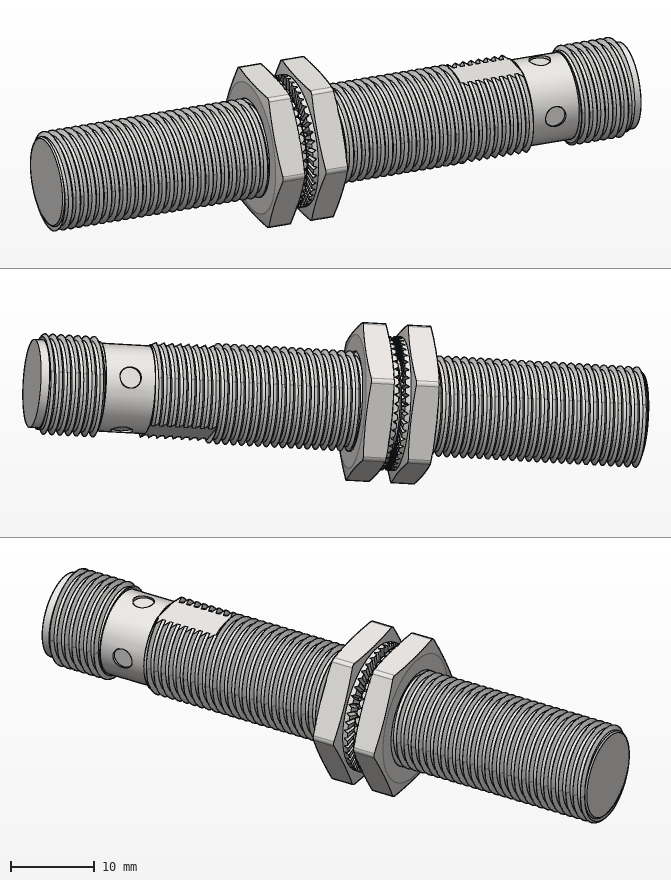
import cadquery as cq
import math


length = 74.0
core_diameter = 10.9
collar_diameter = 10.5
end_bevel = (core_diameter - collar_diameter) / 2
collar_start = 60.1
collar_end = 66.1
connector_core_end = 73.0

thread_diameter = 12.0
thread_pitch = thread_diameter / 12
ridge_root_width = 0.83 * thread_pitch
ridge_overlap = 0.2
thread_margin = 0.48
barrel_turns = 59
connector_turns = 6

flat_count = 2
flat_distance = 10.0
flat_start = 52.1

window_count = 4
window_diameter = 2.6
window_depth = 0.4

nut_width = 17.0
nut_hex_height = 3.3
nut_boss_height = 0.7
nut_boss_diameter = 16.0
nut_corner_radius = 0.63
nut_chamfer_drop = 0.3
front_nut_start = 26.2
nut_gap = 0.8
groove_count = 46
groove_width = 0.5
groove_depth = 0.45


def cylinder_along_y(diameter, start, end):
    """Cylinder on the Y axis between two Y positions."""
    return cq.Workplane("XZ", origin=(0, start, 0)).circle(diameter / 2).extrude(start - end)


def copies_around_y(body, count):
    """Solids of a body repeated evenly around the Y axis."""
    return [body.rotate((0, 0, 0), (0, 1, 0), index * 360 / count).val() for index in range(count)]


def sensor_core():
    """Stepped round body without threads: barrel, collar, connector core and plain end."""
    core_radius = core_diameter / 2
    collar_radius = collar_diameter / 2
    return (
        cq.Workplane("XY")
        .moveTo(0, 0)
        .lineTo(core_radius - end_bevel, 0)
        .lineTo(core_radius, end_bevel)
        .lineTo(core_radius, collar_start)
        .lineTo(collar_radius, collar_start)
        .lineTo(collar_radius, collar_end)
        .lineTo(core_radius, collar_end)
        .lineTo(core_radius, connector_core_end)
        .lineTo(collar_radius, connector_core_end)
        .lineTo(collar_radius, length)
        .lineTo(0, length)
        .close()
        .revolve(360, (0, 0, 0), (0, 1, 0))
    )


def thread_turn():
    """One turn of the right-hand V ridge around Y, starting on the -X side at Y = 0."""
    root_radius = core_diameter / 2 - ridge_overlap
    helix = cq.Wire.makeHelix(thread_pitch, thread_pitch, root_radius)
    profile = (
        cq.Workplane("XZ")
        .moveTo(root_radius, -ridge_root_width / 2)
        .lineTo(thread_diameter / 2, 0)
        .lineTo(root_radius, ridge_root_width / 2)
        .close()
    )
    turn = profile.sweep(cq.Workplane(obj=helix), isFrenet=True)
    turn = turn.rotate((0, 0, 0), (0, 0, 1), 180).rotate((0, 0, 0), (1, 0, 0), -90)
    return turn.cut(cylinder_along_y(core_diameter, -thread_pitch, 2 * thread_pitch))


def thread_turns(first_turn, turn_count, clip_start, clip_end):
    """Full thread turns from a given Y, with a clipped turn before and after them."""
    turn = thread_turn().val()
    clip = cylinder_along_y(2 * thread_diameter, clip_start, clip_end).val()
    turns = [turn.translate((0, first_turn + index * thread_pitch, 0)) for index in range(turn_count)]
    for index in (-1, turn_count):
        runout = turn.translate((0, first_turn + index * thread_pitch, 0))
        turns.append(runout.intersect(clip))
    return turns


def wrench_flat_cutter():
    """Block above the upper wrench flat."""
    flat_length = collar_start - flat_start
    return (
        cq.Workplane("XY", origin=(0, (flat_start + collar_start) / 2, flat_distance / 2))
        .rect(2 * thread_diameter, flat_length)
        .extrude(thread_diameter)
    )


def window_cutter():
    """Flat-bottomed round recess in the top of the collar."""
    window_y = (collar_start + collar_end) / 2
    return (
        cq.Workplane("XY", origin=(0, window_y, collar_diameter / 2 - window_depth))
        .circle(window_diameter / 2)
        .extrude(2 * window_depth)
    )


def make_sensor():
    barrel_thread = thread_turns(thread_margin, barrel_turns, end_bevel, collar_start)
    connector_thread = thread_turns(
        collar_end + thread_margin, connector_turns, collar_end, connector_core_end
    )
    sensor = sensor_core().val().fuse(*barrel_thread, *connector_thread, glue=True)
    flats = copies_around_y(wrench_flat_cutter(), flat_count)
    windows = copies_around_y(window_cutter(), window_count)
    return cq.Workplane(obj=sensor.cut(*flats, *windows).Solids()[0])


def serration_groove():
    """Radial V groove cutter from inside the bore past the rim, open at the boss face."""
    boss_face = nut_hex_height + nut_boss_height
    inner_radius = core_diameter / 2
    return (
        cq.Workplane("YZ", origin=(inner_radius, 0, 0))
        .moveTo(boss_face, -groove_width / 2)
        .lineTo(boss_face, groove_width / 2)
        .lineTo(boss_face - groove_depth, 0)
        .close()
        .extrude(nut_boss_diameter / 2)
    )


def make_nut():
    """Lock nut on the Y axis, plain face at Y = 0 and serrated boss toward +Y."""
    corner_distance = nut_width / math.cos(math.pi / 6)
    hexagon = (
        cq.Workplane("XZ")
        .polygon(6, corner_distance)
        .extrude(-nut_hex_height)
        .edges("|Y")
        .fillet(nut_corner_radius)
    )
    corner_radius = corner_distance / 2
    chamfered_blank = (
        cq.Workplane("XY")
        .moveTo(0, 0)
        .lineTo(nut_boss_diameter / 2, 0)
        .lineTo(corner_radius, nut_chamfer_drop)
        .lineTo(corner_radius, nut_hex_height - nut_chamfer_drop)
        .lineTo(nut_boss_diameter / 2, nut_hex_height)
        .lineTo(0, nut_hex_height)
        .close()
        .revolve(360, (0, 0, 0), (0, 1, 0))
    )
    boss_face = nut_hex_height + nut_boss_height
    boss = cylinder_along_y(nut_boss_diameter, nut_hex_height, boss_face)
    bore = cylinder_along_y(thread_diameter, 0, boss_face)
    nut = hexagon.intersect(chamfered_blank).union(boss).cut(bore)
    grooves = copies_around_y(serration_groove(), groove_count)
    return cq.Workplane(obj=nut.val().cut(*grooves).Solids()[0])


sensor = make_sensor()

lock_nut = make_nut()

nut_height = nut_hex_height + nut_boss_height
rear_nut_end = front_nut_start + 2 * nut_height + nut_gap
nuts = []
for turn, plain_face in ((0, front_nut_start), (180, rear_nut_end)):
    nut = lock_nut.rotate((0, 0, 0), (0, 0, 1), turn)
    nuts.append(nut.translate((0, plain_face, 0)))

result = cq.Compound.makeCompound([sensor.val(), *[nut.val() for nut in nuts]])